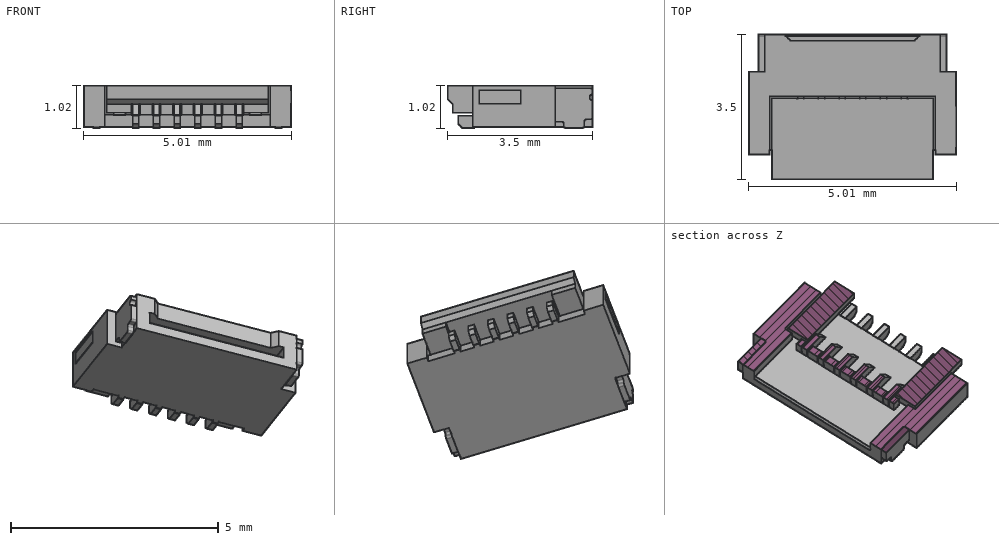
import cadquery as cq


overall_width = 5.01
housing_height = 1.0
shoulder_half_width = 2.5
rear_half_width = 2.12
shoulder_y = -0.9
arm_front_y = -2.9
mark_thickness = overall_width - 2 * shoulder_half_width
mark_length = 1.0
mark_height = 0.32
mark_center_y = -2.235
mark_center_z = 0.73

recess_half_width = 2.0
recess_rear_y = -1.5
floor_z = 0.295
floor_front_y = -2.795

slot_half_width = 1.78
slot_top_z = 0.555
divider_thickness = 0.2
divider_rear_y = recess_rear_y + divider_thickness
window_inner_x = 1.5
entry_notch_depth = 0.15
entry_notch_half_width = 1.65
entry_chamfer = 0.05

contact_count = 6
contact_pitch = 0.5
contact_width = 0.15
contact_gap = 0.2
seating_drop = 0.02
tail_top_z = 0.28
tail_step_y = -2.865
tail_front_y = -3.25
tail_chamfer = 0.1
ramp_length = 0.25
ramp_top_y = -1.805

lever_clearance = 0.05
lever_half_width = recess_half_width - lever_clearance
lever_rear_y = recess_rear_y - lever_clearance
lever_front_y = -3.5
lever_bottom_z = floor_z + lever_clearance
lever_chamfer = 0.12

tab_thickness = 0.155
tab_top_z = 0.935
tab_rear_bottom_z = 0.19
tab_front_bottom_z = 0.135
foot_rear_y = -0.2
foot_front_y = -0.7
tab_round = 0.05
tab_notch_radius = 0.075
tab_notch_z = 0.72

contact_xs = [(i - (contact_count - 1) / 2) * contact_pitch for i in range(contact_count)]


def block(x_range, y_range, z_range):
    """Box between two limits on each axis."""
    limits = (x_range, y_range, z_range)
    sizes = [high - low for low, high in limits]
    corner = cq.Vector(*[low for low, _ in limits])
    return cq.Workplane("XY").box(*sizes, centered=False).translate(corner)


def side_profile(points, center_x, width):
    """Closed (y, z) outline extruded along X, centred on center_x."""
    outline = cq.Workplane("YZ").polyline(points).close()
    return outline.extrude(width / 2, both=True).translate((center_x, 0, 0))


def symmetric(half_width):
    """Limits of a span centred on zero."""
    return (-half_width, half_width)


def make_contact(center_x):
    """Contact: low solder tail in front, ramp up to the blade that passes the divider."""
    points = [
        (divider_rear_y, 0),
        (divider_rear_y, slot_top_z),
        (ramp_top_y, slot_top_z),
        (ramp_top_y - ramp_length, tail_top_z),
        (tail_front_y, tail_top_z),
        (tail_front_y, tail_chamfer - seating_drop),
        (tail_front_y + tail_chamfer, -seating_drop),
        (tail_step_y, -seating_drop),
        (tail_step_y, 0),
    ]
    return side_profile(points, center_x, contact_width)


def make_entry_notch():
    """Tapered notch in the top wall that opens the cable slot at its entry."""
    inner_half_width = entry_notch_half_width - entry_notch_depth
    outline = cq.Workplane("XY").workplane(offset=floor_z).polyline([
        (-entry_notch_half_width, 0),
        (entry_notch_half_width, 0),
        (inner_half_width, -entry_notch_depth),
        (-inner_half_width, -entry_notch_depth),
    ])
    return outline.close().extrude(housing_height - floor_z)


def make_housing():
    body = block(symmetric(rear_half_width), (shoulder_y, 0), (0, housing_height))
    body = body.union(
        block(symmetric(shoulder_half_width), (arm_front_y, shoulder_y), (0, housing_height))
    )

    recess_x = symmetric(recess_half_width)
    body = body.cut(block(recess_x, (arm_front_y, recess_rear_y), (floor_z, housing_height)))
    body = body.cut(block(recess_x, (arm_front_y, floor_front_y), (0, floor_z)))

    opening_z = (floor_z, slot_top_z)
    body = body.cut(block(symmetric(slot_half_width), (divider_rear_y, 0), opening_z))
    body = body.cut(make_entry_notch())
    lip_points = [(0, floor_z), (-entry_chamfer, floor_z), (0, floor_z - entry_chamfer)]
    body = body.cut(side_profile(lip_points, 0, 2 * slot_half_width))

    divider_y = (recess_rear_y, divider_rear_y)
    for x in contact_xs:
        body = body.cut(block((x - contact_gap / 2, x + contact_gap / 2), divider_y, opening_z))
    body = body.cut(block((window_inner_x, slot_half_width), divider_y, opening_z))
    body = body.cut(block((-slot_half_width, -window_inner_x), divider_y, opening_z))

    for x in contact_xs:
        body = body.union(make_contact(x))

    return body.union(block(
        (shoulder_half_width, shoulder_half_width + mark_thickness),
        (mark_center_y - mark_length / 2, mark_center_y + mark_length / 2),
        (mark_center_z - mark_height / 2, mark_center_z + mark_height / 2),
    ))


def make_lever():
    """Locking lever: plate with a chamfered front edge and an opening below that clears the contacts."""
    lower_front_y = lever_front_y + lever_chamfer
    points = [
        (lever_rear_y, lever_bottom_z),
        (lever_rear_y, housing_height),
        (lever_front_y, housing_height),
        (lever_front_y, slot_top_z + lever_chamfer),
        (lower_front_y, slot_top_z),
        (lower_front_y, lever_bottom_z),
    ]
    lever = side_profile(points, 0, 2 * lever_half_width)
    opening_half_width = contact_xs[-1] + contact_gap / 2
    return lever.cut(block(
        symmetric(opening_half_width),
        (lower_front_y, lever_rear_y),
        (lever_bottom_z, slot_top_z),
    ))


def make_tab(side):
    """Solder tab with a foot, flat against the rear part of the housing (side is -1 or 1)."""
    points = [
        (shoulder_y, tab_top_z),
        (0, tab_top_z),
        (0, tab_rear_bottom_z),
        (foot_rear_y, tab_rear_bottom_z),
        (foot_rear_y, -seating_drop),
        (foot_front_y, -seating_drop),
        (foot_front_y, tab_front_bottom_z),
        (shoulder_y, tab_front_bottom_z),
    ]
    center_x = side * (rear_half_width + tab_thickness / 2)
    tab = side_profile(points, center_x, tab_thickness)
    tab = tab.edges("|X").edges(cq.selectors.BoxSelector(
        (-shoulder_half_width, shoulder_y + tab_round, -housing_height),
        (shoulder_half_width, tab_round, housing_height),
    )).fillet(tab_round)
    notch = cq.Workplane("YZ").center(0, tab_notch_z).circle(tab_notch_radius)
    return tab.cut(notch.extrude(shoulder_half_width, both=True))


housing = make_housing()
lever = make_lever()
tabs = [make_tab(side) for side in (-1, 1)]

result = cq.Compound.makeCompound([housing.val(), lever.val(), *[tab.val() for tab in tabs]])